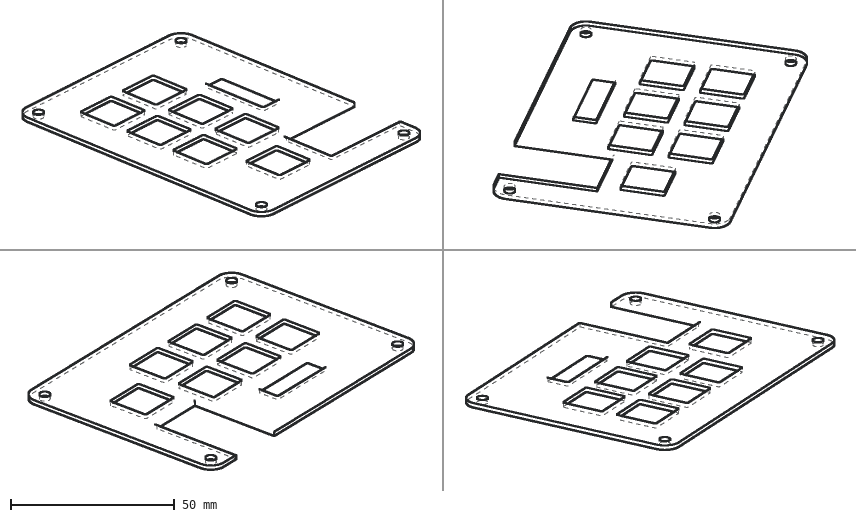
import cadquery as cq

length = 102.0
width = 74.8
thickness = 1.5
corner_radius = 5.0
hole_diameter = 3.4

key_size = 14.0
key_corner_radius = 0.5
key_pitch = 19.1
grid_center_x = -10.6
grid_center_y = -7.1
grid_columns = 3
grid_rows = 2
single_key_x = 30.0

window_length = 23.9
window_width = 7.3
window_corner_radius = 0.5
window_x = -9.6
window_y = 20.2

notch_left = 21.1
notch_right = 39.7
notch_bottom = 6.4

edge_round = 0.5


def rounded_block(block_length, block_width, radius, x, y):
    """Block with rounded vertical edges, as thick as the plate."""
    block = cq.Workplane("XY").box(block_length, block_width, thickness, centered=(True, True, False))
    return block.edges("|Z").fillet(radius).translate((x, y, 0))


def make_plate():
    hole_span_x = length - 2 * corner_radius
    hole_span_y = width - 2 * corner_radius
    plate = rounded_block(length, width, corner_radius, 0, 0)
    return (
        plate.faces(">Z").workplane(origin=(0, 0, thickness))
        .rect(hole_span_x, hole_span_y, forConstruction=True)
        .vertices().hole(hole_diameter)
    )


def key_centers():
    centers = [(single_key_x, grid_center_y)]
    for column in range(grid_columns):
        for row in range(grid_rows):
            x = grid_center_x + (column - (grid_columns - 1) / 2) * key_pitch
            y = grid_center_y + (row - (grid_rows - 1) / 2) * key_pitch
            centers.append((x, y))
    return centers


def notch_cutter():
    notch_length = notch_right - notch_left
    notch_depth = width / 2 - notch_bottom
    return cq.Workplane("XY").box(notch_length, notch_depth, thickness, centered=False).translate(
        (notch_left, notch_bottom, 0)
    )


def round_top_edges(body, x_range, y_range):
    """Round the top edges whose centers lie inside the given X and Y ranges."""
    lower = (x_range[0], y_range[0], thickness - edge_round / 2)
    upper = (x_range[1], y_range[1], thickness + edge_round / 2)
    return body.edges(cq.selectors.BoxSelector(lower, upper)).fillet(edge_round)


result = make_plate()
for center_x, center_y in key_centers():
    result = result.cut(rounded_block(key_size, key_size, key_corner_radius, center_x, center_y))
result = result.cut(
    rounded_block(window_length, window_width, window_corner_radius, window_x, window_y)
)
result = result.cut(notch_cutter())

window_x_range = (window_x - window_length / 2 - edge_round, window_x + window_length / 2 + edge_round)
window_y_range = (window_y - window_width / 2 - edge_round, window_y + window_width / 2 + edge_round)
result = round_top_edges(result, window_x_range, window_y_range)
notch_x_range = (notch_left - edge_round, notch_right + edge_round)
notch_y_range = (notch_bottom - edge_round, width / 2 - edge_round)
result = round_top_edges(result, notch_x_range, notch_y_range)